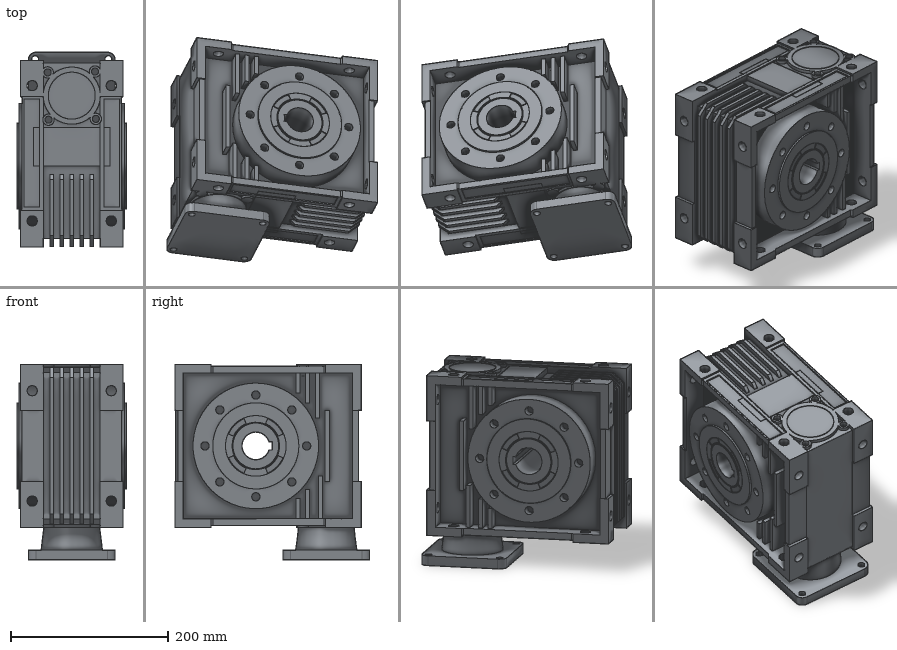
import cadquery as cq
import math


FRONT_Y = -103.0
BACK_Y = 134.5
PAD_Z = 103.8
PAD_X = 65.2
CORE_X = 36.0
CORE_FRONT_Y = -92.5
CORE_BACK_Y = 131.0
CORE_Z = 93.1
DECK_Z = 99.5

RAIL_X = 63.2
RAIL_Z = 101.5
RAIL_FRONT_Y = -99.0
RAIL_BACK_Y = 130.7
PAD_END_FRONT_Y = -56.8
PAD_END_BACK_Y = 88.6
PAD_END_Z = 45.0
WINDOW_FRONT_Y = -92.1
WINDOW_BACK_Y = 123.0
WINDOW_Z = 92.6

PANEL_INNER_X = 40.8
PANEL_OUTER_X = 60.5
PANEL_FRONT_Y = -52.0
PANEL_BACK_Y = 85.2
PANEL_FLOOR_Z = 99.8
PLATE_X = 48.8
PLATE_FRONT_Y = 0.0
PLATE_BACK_Y = 49.3
PLATE_Z = 100.0

MOUNT_HOLE_RADIUS = 6.5
MOUNT_HOLE_X = 50.3
MOUNT_HOLE_Z = 70.2
MOUNT_HOLE_YS = (-69.7, 102.3)

FIN_COUNT = 5
FIN_PITCH = 12.7
FIN_WIDTH = 4.7
FIN_FRONT_Y = -102.3
FIN_Z = DECK_Z
FIN_BACK_Y = -10.7
FIN_CHAMFER_Y = 14.0
FIN_CHAMFER_Z = 12.7

RIB_WIDTH = 5.2
RIB_HEIGHT = 20.0
RIBS = (
    (91.0, -PAD_END_Z, PAD_END_Z),
    (78.5, 35.4, WINDOW_Z),
    (66.0, 54.5, WINDOW_Z),
    (53.5, 67.2, WINDOW_Z),
    (82.2, -WINDOW_Z, -38.3),
    (66.0, -WINDOW_Z, -55.3),
    (53.5, -WINDOW_Z, -67.0),
)

DISC_RADIUS = 80.0
DISC_X = 67.2
DISC_HOLE_RADIUS = 5.2
DISC_HOLE_DEPTH = 15.0
DISC_HOLE_COUNT = 8
DISC_BOLT_RADIUS = 64.7
HUB_RADIUS = 54.8
HUB_X = 70.0
SEAL_RADIUS = 38.5
SEAL_RECESS = 0.2
SHAFT_RADIUS = 29.1
SHAFT_GAP = 1.0
SHAFT_GAP_DEPTH = 1.5
POCKET_INNER_RADIUS = 31.0
POCKET_OUTER_RADIUS = 37.8
POCKET_DEPTH = 1.2
POCKET_ANGLE = 43
BORE_RADIUS = 17.5
KEYWAY_WIDTH = 10.0
KEYWAY_DEPTH_Y = 20.7

WORM_Y = 89.6
COVER_RADIUS = 36.4
COVER_RECESS_RADIUS = 30.0
COVER_RECESS = 0.7
LUG_RADIUS = 7.2
LUG_HOLE_RADIUS = 4.5
LUG_HOLE_DEPTH = 15.0
LUG_CIRCLE_RADIUS = 42.5
LUG_START_ANGLE = 46

FLANGE_SIDE = 110.5
FLANGE_THICKNESS = 12.7
FLANGE_CORNER_RADIUS = 10.0
FLANGE_BOTTOM_Z = -145.2
FLANGE_TOP_Z = FLANGE_BOTTOM_Z + FLANGE_THICKNESS
FLANGE_HOLE_RADIUS = 4.2
FLANGE_HOLE_SPACING = 93.1
NECK_BOTTOM_RADIUS = 39.0
NECK_TOP_RADIUS = 35.5


def box(x_range, y_range, z_range):
    """Axis-aligned block between the given limits."""
    sizes = [high - low for low, high in (x_range, y_range, z_range)]
    corner = (x_range[0], y_range[0], z_range[0])
    return cq.Workplane("XY").box(*sizes, centered=False).translate(corner)


def rod_x(radius, x_from, x_to):
    """Cylinder on the output axis."""
    return cq.Workplane("YZ", origin=(x_from, 0, 0)).circle(radius).extrude(x_to - x_from)


def both_sides(body):
    """A body on the +X side together with its mirror image."""
    return body.union(body.mirror("YZ"))


def both_ends(body):
    """A body at the top together with its mirror image at the bottom."""
    return body.union(body.mirror("XY"))


def core():
    full_x = (-CORE_X, CORE_X)
    low = box(full_x, (CORE_FRONT_Y, CORE_BACK_Y), (-CORE_Z, CORE_Z))
    deck = box(full_x, (PLATE_FRONT_Y, CORE_BACK_Y), (-DECK_Z, DECK_Z))
    return low.union(deck)


def end_bevel(pad_end_y, length):
    """Sloped step from the outer face of a pad down to the rail."""
    return (
        cq.Workplane("XY", origin=(0, 0, -RAIL_Z))
        .polyline([(RAIL_X, pad_end_y), (PAD_X, pad_end_y), (RAIL_X, pad_end_y + length)])
        .close()
        .extrude(2 * RAIL_Z)
    )


def side_frame():
    """Rails, corner pads and window of the +X frame, with the mounting holes."""
    frame = box((CORE_X, RAIL_X), (RAIL_FRONT_Y, RAIL_BACK_Y), (-RAIL_Z, RAIL_Z))
    for y_range in ((FRONT_Y, PAD_END_FRONT_Y), (PAD_END_BACK_Y, BACK_Y)):
        for z_range in ((-PAD_Z, -PAD_END_Z), (PAD_END_Z, PAD_Z)):
            frame = frame.union(box((CORE_X, PAD_X), y_range, z_range))

    step = PAD_X - RAIL_X
    frame = frame.union(end_bevel(PAD_END_FRONT_Y, step)).union(end_bevel(PAD_END_BACK_Y, -step))

    window = box((CORE_X, PAD_X), (WINDOW_FRONT_Y, WINDOW_BACK_Y), (-WINDOW_Z, WINDOW_Z))
    frame = frame.cut(window)

    panel = box(
        (PANEL_INNER_X, PANEL_OUTER_X), (PANEL_FRONT_Y, PANEL_BACK_Y), (PANEL_FLOOR_Z, RAIL_Z)
    )
    frame = frame.cut(both_ends(panel))

    along_y = (
        cq.Workplane("XZ", origin=(0, BACK_Y, 0))
        .pushPoints([(MOUNT_HOLE_X, -MOUNT_HOLE_Z), (MOUNT_HOLE_X, MOUNT_HOLE_Z)])
        .circle(MOUNT_HOLE_RADIUS)
        .extrude(BACK_Y - FRONT_Y)
    )
    along_z = (
        cq.Workplane("XY", origin=(0, 0, -PAD_Z))
        .pushPoints([(MOUNT_HOLE_X, y) for y in MOUNT_HOLE_YS])
        .circle(MOUNT_HOLE_RADIUS)
        .extrude(2 * PAD_Z)
    )
    return frame.cut(along_y).cut(along_z)


def ribs():
    body = cq.Workplane("XY")
    for y, z_low, z_high in RIBS:
        y_range = (y - RIB_WIDTH / 2, y + RIB_WIDTH / 2)
        body = body.union(box((CORE_X, CORE_X + RIB_HEIGHT), y_range, (z_low, z_high)))
    return body


def cross_plate():
    """Plate over the deck, reaching into the panels on both rails."""
    return box((-PLATE_X, PLATE_X), (PLATE_FRONT_Y, PLATE_BACK_Y), (CORE_Z, PLATE_Z))


def fins():
    """C-shaped fins wrapped around the front of the core, with chamfered corners."""
    ramp = FIN_Z - CORE_Z
    upper = [
        (FIN_BACK_Y, CORE_Z),
        (FIN_BACK_Y - ramp, FIN_Z),
        (FIN_FRONT_Y + FIN_CHAMFER_Y, FIN_Z),
        (FIN_FRONT_Y, FIN_Z - FIN_CHAMFER_Z),
    ]
    lower = [(y, -z) for y, z in reversed(upper)]
    profile = cq.Workplane("YZ").polyline(upper + lower).close()
    fin = profile.extrude(FIN_WIDTH / 2, both=True)
    body = cq.Workplane("XY")
    for index in range(FIN_COUNT):
        offset = (index - (FIN_COUNT - 1) / 2) * FIN_PITCH
        body = body.union(fin.translate((offset, 0, 0)))
    return body


def seal_pockets():
    """Four shallow arc pockets centred on the diagonals of the seal face."""
    ring = rod_x(POCKET_OUTER_RADIUS, HUB_X - POCKET_DEPTH, HUB_X)
    ring = ring.cut(rod_x(POCKET_INNER_RADIUS, HUB_X - POCKET_DEPTH, HUB_X))
    reach = 2 * POCKET_OUTER_RADIUS
    half_width = reach * math.tan(math.radians(POCKET_ANGLE / 2))
    wedge = (
        cq.Workplane("YZ", origin=(HUB_X - POCKET_DEPTH, 0, 0))
        .polyline([(0, 0), (reach, -half_width), (reach, half_width)])
        .close()
        .extrude(POCKET_DEPTH)
    )
    pocket = ring.intersect(wedge)
    body = cq.Workplane("XY")
    for angle in (45, 135, 225, 315):
        body = body.union(pocket.rotate((0, 0, 0), (1, 0, 0), angle))
    return body


def output_side():
    """Flange disc, hub and seal details on the +X side."""
    body = rod_x(DISC_RADIUS, CORE_X, DISC_X).union(rod_x(HUB_RADIUS, CORE_X, HUB_X))
    bolt_holes = (
        cq.Workplane("YZ", origin=(DISC_X - DISC_HOLE_DEPTH, 0, 0))
        .polarArray(DISC_BOLT_RADIUS, 0, 360, DISC_HOLE_COUNT)
        .circle(DISC_HOLE_RADIUS)
        .extrude(DISC_HOLE_DEPTH)
    )
    seal_face = rod_x(SEAL_RADIUS, HUB_X - SEAL_RECESS, HUB_X)
    seal_face = seal_face.cut(rod_x(SHAFT_RADIUS, HUB_X - SEAL_RECESS, HUB_X))
    gap = rod_x(SHAFT_RADIUS + SHAFT_GAP, HUB_X - SHAFT_GAP_DEPTH, HUB_X)
    gap = gap.cut(rod_x(SHAFT_RADIUS, HUB_X - SHAFT_GAP_DEPTH, HUB_X))
    return body.cut(bolt_holes).cut(seal_face).cut(gap).cut(seal_pockets())


def shaft_bore():
    bore = rod_x(BORE_RADIUS, -HUB_X, HUB_X)
    half_key = KEYWAY_WIDTH / 2
    keyway = box((-HUB_X, HUB_X), (0, KEYWAY_DEPTH_Y), (-half_key, half_key))
    return bore.union(keyway)


def lug_points():
    angles = [math.radians(LUG_START_ANGLE + 90 * index) for index in range(4)]
    return [(LUG_CIRCLE_RADIUS * math.cos(a), LUG_CIRCLE_RADIUS * math.sin(a)) for a in angles]


def worm_cover():
    """Raised bearing ring with four screw lugs on the top face."""
    base = cq.Workplane("XY", origin=(0, WORM_Y, CORE_Z))
    height = PAD_Z - CORE_Z
    ring = base.circle(COVER_RADIUS).extrude(height)
    lugs = base.pushPoints(lug_points()).circle(LUG_RADIUS).extrude(height)
    return ring.union(lugs)


def worm_cover_cuts():
    """Recess and screw holes of the top cover."""
    top = cq.Workplane("XY", origin=(0, WORM_Y, PAD_Z))
    recess = top.circle(COVER_RECESS_RADIUS).extrude(-COVER_RECESS)
    holes = top.pushPoints(lug_points()).circle(LUG_HOLE_RADIUS).extrude(-LUG_HOLE_DEPTH)
    return recess.union(holes)


def input_flange():
    """Square motor flange below the housing, joined by a conical neck."""
    plate = (
        cq.Workplane("XY", origin=(0, WORM_Y, FLANGE_BOTTOM_Z))
        .rect(FLANGE_SIDE, FLANGE_SIDE)
        .extrude(FLANGE_THICKNESS)
        .edges("|Z")
        .fillet(FLANGE_CORNER_RADIUS)
        .faces(">Z")
        .workplane()
        .rect(FLANGE_HOLE_SPACING, FLANGE_HOLE_SPACING, forConstruction=True)
        .vertices()
        .hole(2 * FLANGE_HOLE_RADIUS)
    )
    neck = (
        cq.Workplane("XY", origin=(0, WORM_Y, FLANGE_TOP_Z))
        .circle(NECK_BOTTOM_RADIUS)
        .workplane(offset=-PAD_Z - FLANGE_TOP_Z)
        .circle(NECK_TOP_RADIUS)
        .loft()
    )
    return plate.union(neck)


result = core().union(both_sides(side_frame().union(ribs()).union(output_side())))
result = result.union(both_ends(cross_plate())).union(fins())
result = result.union(both_ends(worm_cover())).cut(worm_cover_cuts())
result = result.union(input_flange()).cut(shaft_bore())